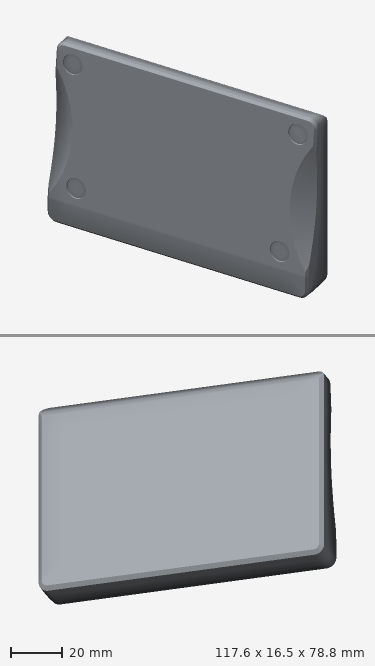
import cadquery as cq
import math

WIDTH = 117.6
DEPTH = 16.5
HEIGHT = 78.81

BEND_Z = 11.2
TILT = 6.3
BEND_RADIUS = 8.0
TOP_BEVEL_IN = 3.9
TOP_BEVEL_DOWN = 4.6
TOP_BEVEL_BULGE = 0.5
CROWN = 0.45

CORNER_RADIUS = 4.0
FRONT_CHAMFER = 1.0
BACK_CHAMFER_IN = 1.0
BACK_CHAMFER_DEEP = 1.75

SCOOP_RADIUS = 47.5
SCOOP_REACH = 9.75
SCOOP_FLARE = 2.5
CONE_OVERSHOOT = 2.0
CONE_DEPTH = 9.0
SCOOP_Z = HEIGHT - 38.3

FOOT_DIAMETER = 8.5
FOOT_RIM_DIAMETER = 8.8
FOOT_DEPTH = 0.5
UPPER_FEET = (8.0, HEIGHT - 8.0)
LOWER_FEET = (12.9, HEIGHT - 60.1)

HALF_WIDTH = WIDTH / 2
SLOPE = math.tan(math.radians(TILT))


def sloped_face_y(z):
    """Y of the sloped front face at height z."""
    return (z - BEND_Z) * SLOPE


def sloped_face_plane(x, z):
    """Work plane on the sloped face with its normal pointing out of the part."""
    return cq.Plane(
        origin=(x, sloped_face_y(z), z),
        xDir=(1, 0, 0),
        normal=(0, -1, SLOPE),
    )


def make_body():
    """Wedge-shaped block with rounded corners and chamfered front and back edges."""
    body = (
        cq.Workplane("YZ")
        .moveTo(0, CROWN)
        .lineTo(0, BEND_Z)
        .lineTo(sloped_face_y(HEIGHT), HEIGHT)
        .lineTo(DEPTH, HEIGHT)
        .lineTo(DEPTH, CROWN)
        .threePointArc((DEPTH / 2, 0), (0, CROWN))
        .close()
        .extrude(HALF_WIDTH, both=True)
    )
    bend = cq.selectors.NearestToPointSelector((0, 0, BEND_Z))
    body = body.edges(bend).fillet(BEND_RADIUS)

    for z in (CROWN, HEIGHT):
        for x in (-HALF_WIDTH, HALF_WIDTH):
            corner = cq.selectors.NearestToPointSelector((x, DEPTH / 2, z))
            body = body.edges(corner).fillet(CORNER_RADIUS)

    body = body.faces(">Y").chamfer(BACK_CHAMFER_DEEP, BACK_CHAMFER_IN)
    chord = math.hypot(TOP_BEVEL_IN, TOP_BEVEL_DOWN)
    bulge_y = TOP_BEVEL_BULGE * TOP_BEVEL_DOWN / chord
    bulge_z = TOP_BEVEL_BULGE * TOP_BEVEL_IN / chord
    bevel_middle = (DEPTH - TOP_BEVEL_IN / 2 + bulge_y, HEIGHT - TOP_BEVEL_DOWN / 2 + bulge_z)
    bevel = (
        cq.Workplane("YZ")
        .moveTo(DEPTH - TOP_BEVEL_IN, HEIGHT)
        .lineTo(DEPTH, HEIGHT)
        .lineTo(DEPTH, HEIGHT - TOP_BEVEL_DOWN)
        .threePointArc(bevel_middle, (DEPTH - TOP_BEVEL_IN, HEIGHT))
        .close()
        .extrude(HALF_WIDTH, both=True)
    )
    body = body.cut(bevel)
    front_rim = cq.selectors.NearestToPointSelector((0, sloped_face_y(HEIGHT), HEIGHT))
    return body.edges(front_rim).chamfer(FRONT_CHAMFER)


def make_scoop(side):
    """Cone, narrowing into the part, that hollows one end of the sloped face."""
    axis_x = side * (HALF_WIDTH - SCOOP_REACH + SCOOP_RADIUS)
    plane = sloped_face_plane(axis_x, SCOOP_Z)
    inward = plane.zDir * -1
    cone = cq.Solid.makeCone(
        SCOOP_RADIUS + CONE_OVERSHOOT * SCOOP_FLARE,
        SCOOP_RADIUS - CONE_DEPTH * SCOOP_FLARE,
        CONE_OVERSHOOT + CONE_DEPTH,
        plane.origin - inward * CONE_OVERSHOOT,
        inward,
    )
    return cq.Workplane(cone)


def make_foot_recess(x, z):
    """Shallow round pocket, square to the sloped face and slightly tapered."""
    taper = math.degrees(math.atan2((FOOT_RIM_DIAMETER - FOOT_DIAMETER) / 2, FOOT_DEPTH))
    rim = cq.Workplane(sloped_face_plane(x, z)).circle(FOOT_RIM_DIAMETER / 2)
    return rim.extrude(-FOOT_DEPTH, taper=taper)


result = make_body()
for side in (-1, 1):
    result = result.cut(make_scoop(side))
    for inset, z in (UPPER_FEET, LOWER_FEET):
        result = result.cut(make_foot_recess(side * (HALF_WIDTH - inset), z))